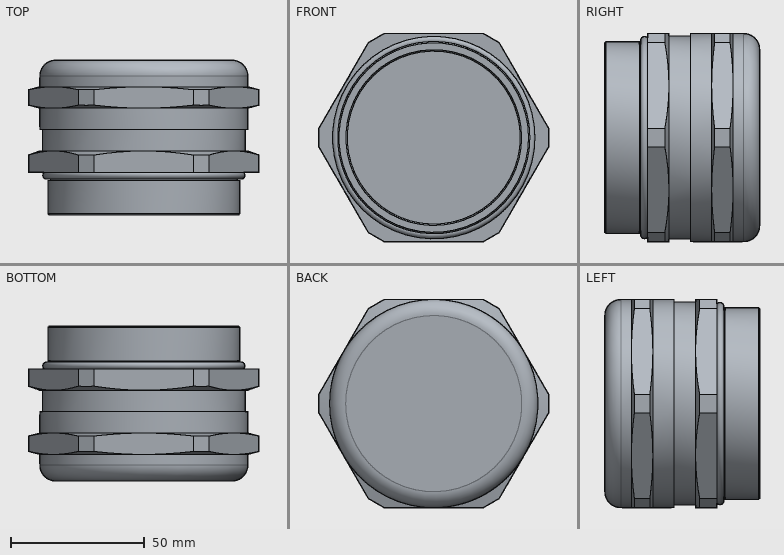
import cadquery as cq
import math


SPIGOT_END = 13.0
BODY_HEX_START = 16.0
HEX_THICKNESS = 8.0
CAP_START = 32.0
CAP_HEX_START = 40.0
TOTAL_LENGTH = 58.0
BODY_HEX_END = BODY_HEX_START + HEX_THICKNESS

HEX_HALF_STEP = 30.0
ACROSS_FLATS = 78.0
ACROSS_POINT_CUTS = 86.1
BODY_HEX_BEVEL_ANGLE = 20.0
CAP_HEX_BEVEL_ANGLE = 15.0

CAP_RADIUS = ACROSS_FLATS / 2
CAP_ROUNDING = 6.0
BODY_RADIUS = 38.0
SPIGOT_RADIUS = 36.0
NECK_RADIUS = 35.0
EDGE_CHAMFER = 0.5

RING_OUTER_RADIUS = 37.9
RING_SECTION_RADIUS = 1.5
RING_GAP = 0.4

RECESS_RADIUS = 32.4
RECESS_DEPTH = 6.0


def cylinder(radius, start, end):
    """Solid cylinder on the Y axis between two places."""
    return cq.Workplane("XZ", origin=(0, start, 0)).circle(radius).extrude(start - end)


def hex_prism(across, start, end, turn):
    """Hexagonal prism on the Y axis; with no turn its points lie on X."""
    across_points = across / math.cos(math.radians(HEX_HALF_STEP))
    prism = cq.Workplane("XZ", origin=(0, start, 0)).polygon(6, across_points).extrude(start - end)
    return prism.rotate((0, 0, 0), (0, 1, 0), turn)


def bevel_envelope(start, end, angle, both_sides):
    """Round blank whose conical ends trim the hexagon outside the inscribed circle."""
    rim_radius = ACROSS_POINT_CUTS / 2 / math.cos(math.radians(HEX_HALF_STEP))
    drop = (rim_radius - CAP_RADIUS) * math.tan(math.radians(angle))
    profile = cq.Workplane("XY").moveTo(0, start)
    if both_sides:
        profile = profile.lineTo(CAP_RADIUS, start).lineTo(rim_radius, start + drop)
    else:
        profile = profile.lineTo(rim_radius, start)
    profile = profile.lineTo(rim_radius, end - drop).lineTo(CAP_RADIUS, end).lineTo(0, end).close()
    return profile.revolve(360, (0, 0, 0), (0, 1, 0))


def wrench_hex(start, bevel_angle, both_sides):
    """Hexagon with flats across its points and conical bevels."""
    end = start + HEX_THICKNESS
    sides = hex_prism(ACROSS_FLATS, start, end, 0)
    point_cuts = hex_prism(ACROSS_POINT_CUTS, start, end, HEX_HALF_STEP)
    return sides.intersect(point_cuts).intersect(bevel_envelope(start, end, bevel_angle, both_sides))


def sealing_ring():
    """Ring of round section around the neck, pressed slightly into the body hexagon."""
    center_radius = RING_OUTER_RADIUS - RING_SECTION_RADIUS
    center_place = SPIGOT_END + RING_GAP + RING_SECTION_RADIUS
    section_plane = cq.Plane(origin=(center_radius, center_place, 0), xDir=(-1, 0, 0), normal=(0, 0, 1))
    section = cq.Workplane(section_plane).circle(RING_SECTION_RADIUS)
    return section.revolve(360, (center_radius, 0), (center_radius, 1))


def spigot():
    """Chamfered spigot with its recess; the recess mouth is chamfered too."""
    outside = cylinder(SPIGOT_RADIUS, 0, SPIGOT_END)
    recess = cylinder(RECESS_RADIUS, 0, RECESS_DEPTH)
    return outside.cut(recess).faces("<Y").chamfer(EDGE_CHAMFER)


cap = cylinder(CAP_RADIUS, CAP_START, TOTAL_LENGTH).faces(">Y").edges().fillet(CAP_ROUNDING)
body = cylinder(BODY_RADIUS, BODY_HEX_END, CAP_START)
neck = cylinder(NECK_RADIUS, SPIGOT_END, BODY_HEX_START)

result = (
    spigot()
    .union(neck)
    .union(sealing_ring())
    .union(wrench_hex(BODY_HEX_START, BODY_HEX_BEVEL_ANGLE, both_sides=False))
    .union(body)
    .union(cap)
    .union(wrench_hex(CAP_HEX_START, CAP_HEX_BEVEL_ANGLE, both_sides=True))
)